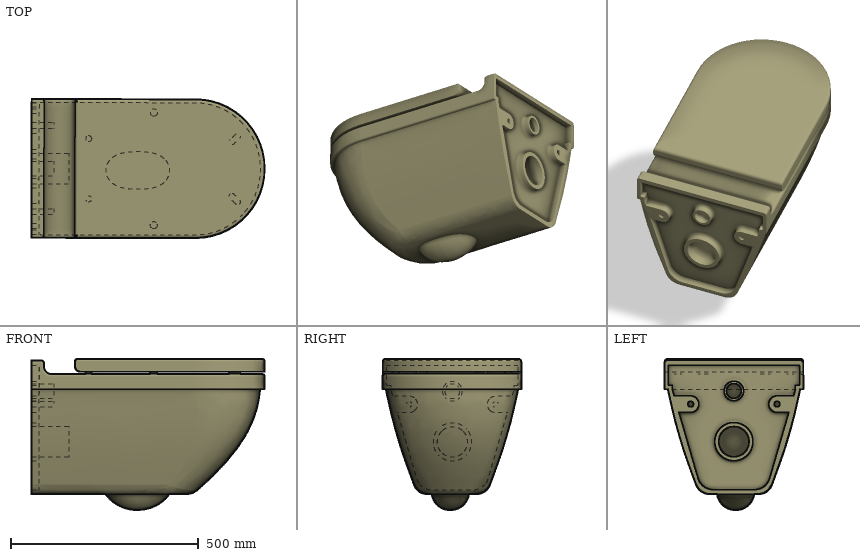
import cadquery as cq
import math


RIM_HALF_WIDTH = 185.2
RIM_TIP_X = 621.4
RIM_NOSE_X = RIM_TIP_X - RIM_HALF_WIDTH
RIM_BOTTOM_Z = 279.0
RIM_TOP_Z = 320.3
UPSTAND_TOP_Z = 356.5
UPSTAND_DEPTH = 33.5
UPSTAND_COVE_RADIUS = 20.0
TOP_EDGE_RADIUS = 7.5
RIM_UNDER_RADIUS = 4.0

SKIRT_SECTIONS = [
    (0.0, 92.0, 338.0, 429.0),
    (47.0, 109.0, 385.0, 481.0),
    (135.0, 139.5, 433.0, 556.5),
    (215.0, 161.5, 444.0, 596.5),
    (RIM_BOTTOM_Z, 176.0, 436.0, 609.5),
]
SKIRT_BOTTOM_RADIUS = 40.0

TRAP_X = 282.5
TRAP_Y = -4.3
TRAP_BEND_RADIUS = 55.0
TRAP_PIPE_RADIUS = 50.5
TRAP_BOTTOM_Z = -42.6
TRAP_BEND_Z = TRAP_BOTTOM_Z + TRAP_PIPE_RADIUS + TRAP_BEND_RADIUS

POCKET_DEPTH = 20.0
POCKET_TOP_Z = 344.0
POCKET_LEDGE_Z = 290.0
POCKET_BOTTOM_Z = 12.0
POCKET_SIDE_WALL = 10.0
POCKET_RIM_HALF_WIDTH = RIM_HALF_WIDTH - POCKET_SIDE_WALL
POCKET_NECK_HALF_WIDTH = 164.0
POCKET_FOOT_HALF_WIDTH = 86.5
POCKET_FOOT_RADIUS = 43.0
POCKET_RIM_RADIUS = 4.0

BOSS_ROOT_RADIUS = 8.0
SELECTION_MARGIN = 1.0
OUTLET_Z = 140.0
OUTLET_DIAMETER = 102.0
OUTLET_BORE = 80.76
OUTLET_BORE_DEPTH = 100.0
INLET_Z = 275.0
INLET_DIAMETER = 52.0
INLET_BORE = 39.26
INLET_BORE_DEPTH = 60.0
BOLT_SPACING = 230.0
BOLT_Z = 240.0
BOLT_DIAMETER = 15.0
BOLT_HOLE_DEPTH = 60.0
BOLT_PAD_RADIUS = 22.0

LID_REAR_X = 116.0
LID_HALF_WIDTH = 184.0
LID_TIP_X = RIM_TIP_X
LID_NOSE_X = LID_TIP_X - LID_HALF_WIDTH
LID_BOTTOM_Z = 326.0
LID_TOP_Z = 360.45
LID_REAR_UNDER_RADIUS = 15.0

HINGE_FOOT_X = 152.0
HINGE_FOOT_Y = 80.0
HINGE_FOOT_DIAMETER = 16.0
SIDE_FOOT_X = 325.5
SIDE_FOOT_Y = 150.0
SIDE_FOOT_DIAMETER = 19.0
NOSE_FOOT_X = 541.0
NOSE_FOOT_Y = 80.0
NOSE_FOOT_WIDTH = 15.0
NOSE_FOOT_LENGTH = 37.0
NOSE_FOOT_ANGLE = 45.0

FIXTURE_YAW = -0.1


def tongue(rear_x, half_width, nose_x, bottom_z, top_z):
    """A slab with a square rear end and a half-round nose."""
    return (
        cq.Workplane("XY", origin=(0, 0, bottom_z))
        .moveTo(rear_x, -half_width)
        .lineTo(nose_x, -half_width)
        .threePointArc((nose_x + half_width, 0), (nose_x, half_width))
        .lineTo(rear_x, half_width)
        .close()
        .extrude(top_z - bottom_z)
    )


def edge_near(x, z):
    """Selects the edge of the rim that crosses the middle plane closest to a point."""
    return cq.selectors.NearestToPointSelector((x, 0, z))


def make_rim():
    slab = tongue(0, RIM_HALF_WIDTH, RIM_NOSE_X, RIM_BOTTOM_Z, UPSTAND_TOP_Z)
    cove_end_x = UPSTAND_DEPTH + UPSTAND_COVE_RADIUS
    cove_top_z = RIM_TOP_Z + UPSTAND_COVE_RADIUS
    cove_mid = UPSTAND_COVE_RADIUS * (1 - math.sqrt(0.5))
    seat_space = (
        cq.Workplane("XZ", origin=(0, RIM_HALF_WIDTH, 0))
        .moveTo(UPSTAND_DEPTH, UPSTAND_TOP_Z)
        .lineTo(UPSTAND_DEPTH, cove_top_z)
        .threePointArc((UPSTAND_DEPTH + cove_mid, RIM_TOP_Z + cove_mid), (cove_end_x, RIM_TOP_Z))
        .lineTo(RIM_TIP_X, RIM_TOP_Z)
        .lineTo(RIM_TIP_X, UPSTAND_TOP_Z)
        .close()
        .extrude(2 * RIM_HALF_WIDTH)
    )
    rim = slab.cut(seat_space)
    rim = rim.edges(edge_near(RIM_TIP_X, RIM_TOP_Z)).fillet(TOP_EDGE_RADIUS)
    rim = rim.edges(edge_near(UPSTAND_DEPTH, UPSTAND_TOP_Z)).fillet(TOP_EDGE_RADIUS)
    return rim.edges(edge_near(RIM_TIP_X, RIM_BOTTOM_Z)).fillet(RIM_UNDER_RADIUS)


def skirt_section(height, half_width, side_end_x, tip_x):
    """A level outline: square at the wall, half an ellipse at the nose."""
    return (
        cq.Workplane("XY", origin=(0, 0, height))
        .moveTo(side_end_x, half_width)
        .lineTo(0, half_width)
        .lineTo(0, -half_width)
        .lineTo(side_end_x, -half_width)
        .ellipseArc(tip_x - side_end_x, half_width, -90, 90, startAtCurrent=True)
        .wire()
        .val()
    )


def make_skirt():
    sections = [skirt_section(*section) for section in SKIRT_SECTIONS]
    skirt = cq.Workplane(cq.Solid.makeLoft(sections))
    return skirt.faces("<Z").edges("not <X").fillet(SKIRT_BOTTOM_RADIUS)


def make_trap():
    return cq.Workplane(
        cq.Solid.makeTorus(
            TRAP_BEND_RADIUS,
            TRAP_PIPE_RADIUS,
            cq.Vector(TRAP_X, TRAP_Y, TRAP_BEND_Z),
            cq.Vector(0, 1, 0),
        )
    )


def make_pocket():
    rim_part = (
        cq.Workplane("YZ")
        .moveTo(0, (POCKET_TOP_Z + POCKET_LEDGE_Z) / 2)
        .rect(2 * POCKET_RIM_HALF_WIDTH, POCKET_TOP_Z - POCKET_LEDGE_Z)
        .extrude(POCKET_DEPTH)
        .edges("|X")
        .fillet(POCKET_RIM_RADIUS)
    )
    skirt_part = (
        cq.Workplane("YZ")
        .moveTo(-POCKET_NECK_HALF_WIDTH, POCKET_LEDGE_Z + POCKET_RIM_RADIUS)
        .lineTo(-POCKET_NECK_HALF_WIDTH, RIM_BOTTOM_Z)
        .lineTo(-POCKET_FOOT_HALF_WIDTH, POCKET_BOTTOM_Z)
        .lineTo(POCKET_FOOT_HALF_WIDTH, POCKET_BOTTOM_Z)
        .lineTo(POCKET_NECK_HALF_WIDTH, RIM_BOTTOM_Z)
        .lineTo(POCKET_NECK_HALF_WIDTH, POCKET_LEDGE_Z + POCKET_RIM_RADIUS)
        .close()
        .extrude(POCKET_DEPTH)
        .edges("|X and <Z")
        .fillet(POCKET_FOOT_RADIUS)
    )
    return rim_part.union(skirt_part)


def round_boss(z, diameter):
    return cq.Workplane("YZ").center(0, z).circle(diameter / 2).extrude(POCKET_DEPTH)


def bolt_pad(side):
    """A pad round one bolt, running out past the side of the pocket."""
    centre_y = side * BOLT_SPACING / 2
    outer_y = side * RIM_HALF_WIDTH
    return (
        cq.Workplane("YZ")
        .moveTo(outer_y, BOLT_Z - BOLT_PAD_RADIUS)
        .lineTo(centre_y, BOLT_Z - BOLT_PAD_RADIUS)
        .threePointArc(
            (centre_y - side * BOLT_PAD_RADIUS, BOLT_Z),
            (centre_y, BOLT_Z + BOLT_PAD_RADIUS),
        )
        .lineTo(outer_y, BOLT_Z + BOLT_PAD_RADIUS)
        .close()
        .extrude(POCKET_DEPTH)
    )


def make_pocket_bosses():
    """All bosses standing on a floor plate, each with a concave flare at its root."""
    bosses = (
        cq.Workplane("YZ", origin=(POCKET_DEPTH, 0, 0))
        .center(0, UPSTAND_TOP_Z / 2)
        .rect(2 * RIM_HALF_WIDTH, UPSTAND_TOP_Z)
        .extrude(POCKET_DEPTH)
    )
    bosses = bosses.union(round_boss(OUTLET_Z, OUTLET_DIAMETER))
    bosses = bosses.union(round_boss(INLET_Z, INLET_DIAMETER))
    for side in (-1, 1):
        bosses = bosses.union(bolt_pad(side))
    inner_half_width = RIM_HALF_WIDTH - SELECTION_MARGIN / 2
    root_zone = cq.selectors.BoxSelector(
        (POCKET_DEPTH - SELECTION_MARGIN, -inner_half_width, SELECTION_MARGIN),
        (POCKET_DEPTH + SELECTION_MARGIN, inner_half_width, UPSTAND_TOP_Z - SELECTION_MARGIN),
    )
    return bosses.edges(root_zone).fillet(BOSS_ROOT_RADIUS)


def bore(y, z, diameter, depth):
    return cq.Workplane("YZ").center(y, z).circle(diameter / 2).extrude(depth)


def make_bowl():
    bowl = make_rim().union(make_skirt()).union(make_trap())
    bowl = bowl.cut(make_pocket().cut(make_pocket_bosses()))
    bowl = bowl.cut(bore(0, OUTLET_Z, OUTLET_BORE, OUTLET_BORE_DEPTH))
    bowl = bowl.cut(bore(0, INLET_Z, INLET_BORE, INLET_BORE_DEPTH))
    for side in (-1, 1):
        bowl = bowl.cut(bore(side * BOLT_SPACING / 2, BOLT_Z, BOLT_DIAMETER, BOLT_HOLE_DEPTH))
    return bowl


def make_feet(side):
    """The hinge, side and nose feet on one side of the lid."""
    height = LID_BOTTOM_Z - RIM_TOP_Z
    level = cq.Workplane("XY", origin=(0, 0, RIM_TOP_Z))
    hinge_foot = (
        level.center(HINGE_FOOT_X, side * HINGE_FOOT_Y)
        .circle(HINGE_FOOT_DIAMETER / 2)
        .extrude(height)
    )
    side_foot = (
        level.center(SIDE_FOOT_X, side * SIDE_FOOT_Y)
        .circle(SIDE_FOOT_DIAMETER / 2)
        .extrude(height)
    )
    nose_foot = (
        level.center(NOSE_FOOT_X, side * NOSE_FOOT_Y)
        .slot2D(NOSE_FOOT_LENGTH, NOSE_FOOT_WIDTH, side * NOSE_FOOT_ANGLE)
        .extrude(height)
    )
    return [hinge_foot, side_foot, nose_foot]


def make_lid():
    lid = tongue(LID_REAR_X, LID_HALF_WIDTH, LID_NOSE_X, LID_BOTTOM_Z, LID_TOP_Z)
    lid = lid.faces("<Z").edges("<X").fillet(LID_REAR_UNDER_RADIUS)
    lid = lid.faces(">Z").edges().fillet(TOP_EDGE_RADIUS)
    for side in (-1, 1):
        for foot in make_feet(side):
            lid = lid.union(foot)
    return lid


def turned(body):
    return body.solids().rotate((0, 0, 0), (0, 0, 1), FIXTURE_YAW)


bowl = turned(make_bowl())
lid = turned(make_lid())

result = cq.Compound.makeCompound([bowl.val(), lid.val()])